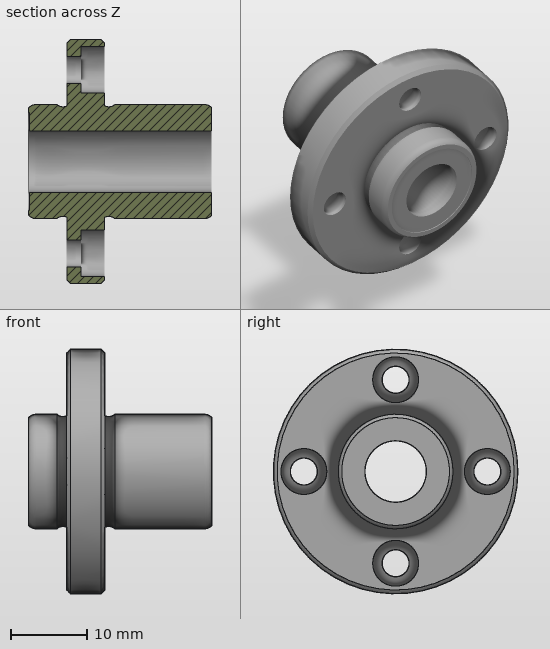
import cadquery as cq
import math

total_length = 24.0
body_radius = 15.0 / 2
bore_diameter = 8.0

flange_radius = 32.0 / 2
flange_start = 5.0
flange_thickness = 5.0
flange_end = flange_start + flange_thickness
flange_chamfer = 0.5

end_round_length = 1.0
end_round_depth = 0.45

groove_width = 1.3
groove_depth = 0.3
groove_bottom_offset = 0.5

seal_diameter = 12.8
seal_recess_depth = 0.1

hole_count = 4
hole_circle_radius = 12.0
hole_diameter = 3.5
counterbore_diameter = 6.0
counterbore_depth = 3.1

groove_bottom_radius = body_radius - groove_depth
groove_half_chord = groove_width - groove_bottom_offset
groove_arc_radius = (groove_half_chord**2 + groove_depth**2) / (2 * groove_depth)
groove_flange_radius = (
    groove_bottom_radius
    + groove_arc_radius
    - math.sqrt(groove_arc_radius**2 - groove_bottom_offset**2)
)


def end_round_mid_drop():
    """Radial drop of the end rounding at half its length."""
    arc_radius = (end_round_length**2 + end_round_depth**2) / (2 * end_round_depth)
    return arc_radius - math.sqrt(arc_radius**2 - (end_round_length / 2) ** 2)


def turned_body():
    """Revolve the outer half profile about the X axis."""
    end_radius = body_radius - end_round_depth
    round_mid_radius = body_radius - end_round_mid_drop()
    chamfer_radius = flange_radius - flange_chamfer
    profile = (
        cq.Workplane("XY")
        .moveTo(0, 0)
        .lineTo(0, end_radius)
        .threePointArc((end_round_length / 2, round_mid_radius), (end_round_length, body_radius))
        .lineTo(flange_start - groove_width, body_radius)
        .threePointArc(
            (flange_start - groove_bottom_offset, groove_bottom_radius),
            (flange_start, groove_flange_radius),
        )
        .lineTo(flange_start, chamfer_radius)
        .lineTo(flange_start + flange_chamfer, flange_radius)
        .lineTo(flange_end - flange_chamfer, flange_radius)
        .lineTo(flange_end, chamfer_radius)
        .lineTo(flange_end, groove_flange_radius)
        .threePointArc(
            (flange_end + groove_bottom_offset, groove_bottom_radius),
            (flange_end + groove_width, body_radius),
        )
        .lineTo(total_length - end_round_length, body_radius)
        .threePointArc(
            (total_length - end_round_length / 2, round_mid_radius),
            (total_length, end_radius),
        )
        .lineTo(total_length, 0)
        .close()
    )
    return profile.revolve(360, (0, 0, 0), (1, 0, 0))


def cylinder_along_x(start, length, diameter, y=0.0, z=0.0):
    """Solid cylinder parallel to X, starting at X = start."""
    return cq.Workplane("YZ", origin=(start, y, z)).circle(diameter / 2).extrude(length)


def mounting_hole(angle):
    """Cutter for one counterbored flange hole at an angle about X, in degrees."""
    y = hole_circle_radius * math.cos(math.radians(angle))
    z = hole_circle_radius * math.sin(math.radians(angle))
    hole = cylinder_along_x(flange_start, flange_thickness, hole_diameter, y, z)
    counterbore = cylinder_along_x(
        flange_end - counterbore_depth, counterbore_depth, counterbore_diameter, y, z
    )
    return hole.union(counterbore)


result = turned_body()
result = result.cut(cylinder_along_x(0, total_length, bore_diameter))
result = result.cut(cylinder_along_x(0, seal_recess_depth, seal_diameter))
for index in range(hole_count):
    result = result.cut(mounting_hole(index * 360 / hole_count))